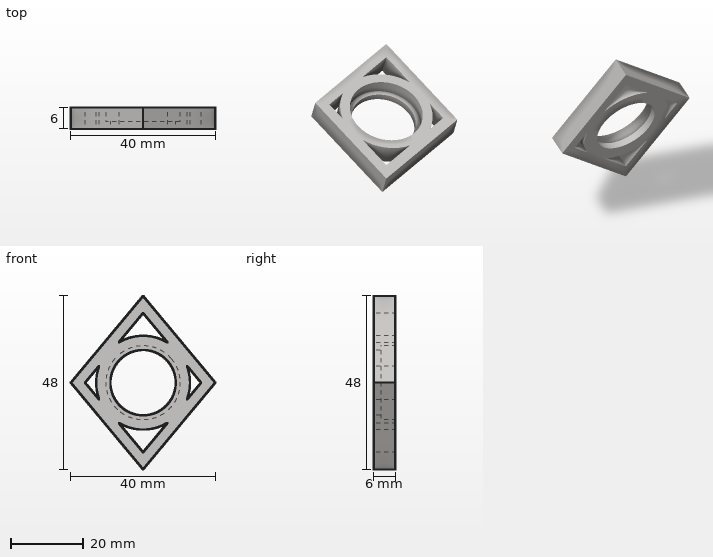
import cadquery as cq

width = 40.0
height = 48.0
thickness = 6.0
window_scale = 0.8
ring_diameter = 26.0
bore_diameter = 18.0
pocket_diameter = 20.5
lip_thickness = 2.0


def diamond_prism(size_x, size_z):
    """Diamond centred on the Y axis, running from the front face at Y = 0 to the rear face."""
    corners = [(size_x / 2, 0), (0, size_z / 2), (-size_x / 2, 0), (0, -size_z / 2)]
    return cq.Workplane("XZ").polyline(corners).close().extrude(-thickness)


def cylinder(diameter, front_y, length):
    """Cylinder along +Y, starting at front_y."""
    return cq.Workplane("XZ", origin=(0, front_y, 0)).circle(diameter / 2).extrude(-length)


plate = diamond_prism(width, height)
inner_diamond = diamond_prism(width * window_scale, height * window_scale)
windows = inner_diamond.cut(cylinder(ring_diameter, 0, thickness))

bore = cylinder(bore_diameter, 0, thickness)
pocket = cylinder(pocket_diameter, lip_thickness, thickness - lip_thickness)

result = plate.cut(windows).cut(bore).cut(pocket)